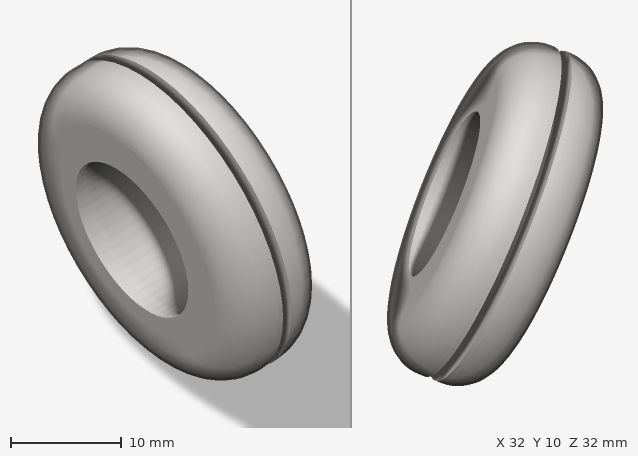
import cadquery as cq

outer_diameter = 32.0
bore_diameter = outer_diameter / 2
groove_diameter = 25.02
thickness = 10.0
groove_width = 1.0
rim_radius = outer_diameter / 8


def disc(diameter, length):
    """Cylinder along Y, centred on the origin."""
    return cq.Workplane("XZ", origin=(0, length / 2, 0)).circle(diameter / 2).extrude(length)


body = disc(outer_diameter, thickness).edges("%CIRCLE").fillet(rim_radius)

groove = disc(outer_diameter, groove_width).cut(disc(groove_diameter, groove_width))

bore = disc(bore_diameter, thickness)

result = body.cut(groove).cut(bore)